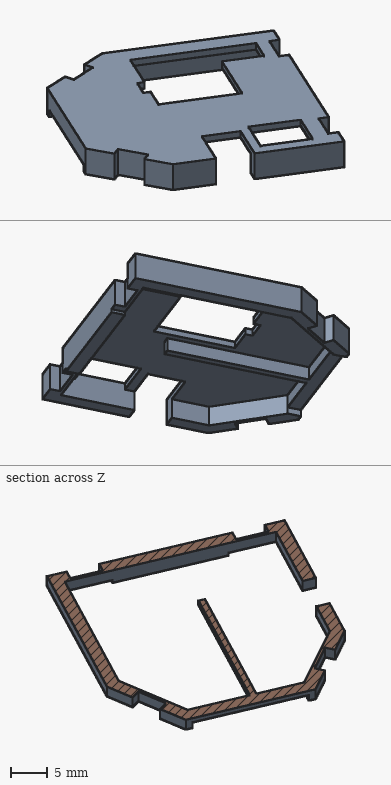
import cadquery as cq
import math

side = 35.0
total_height = 4.5
tab_drop = 0.5
plate_thickness = 1.0
wall = 2.0
front_width = 19.1
slant_rise = 10.25
opening_width = 17.08
opening_top = 1.5

notch_depth = 1.47
rear_notch_offset = 2.95
rear_notch_width = 4.72
slant_notch_width = 4.48

rib_thickness = 1.0
rib_rear = 23.1

window_left = 3.0
window_right = 17.0
window_front = 13.45
window_step = 25.48
window_rear = 31.57
strip_right = 7.0
key_left = 10.05
key_right = 13.05
key_front = 12.4

small_window_left = 27.02
small_window_front = 23.5
small_window_rear = 31.0
slot_left = 28.0
slot_front = 16.5
slot_rear = 22.05

slant_run = (side - front_width) / 2
slant_angle = math.degrees(math.atan2(slant_rise, slant_run))


def block(x0, x1, y0, y1, z0=0.0, z1=total_height):
    """Axis-aligned block between opposite limits."""
    return cq.Workplane("XY").box(x1 - x0, y1 - y0, z1 - z0, centered=False).translate((x0, y0, z0))


def outline(z):
    """Square with its two front corners cut away."""
    points = [
        (0, slant_rise),
        (slant_run, 0),
        (side - slant_run, 0),
        (side, slant_rise),
        (side, side),
        (0, side),
    ]
    return cq.Workplane("XY").workplane(offset=z).polyline(points).close()


def slant_notch():
    """Cutter centred on the left slanted edge."""
    return (
        cq.Workplane("XY")
        .box(slant_notch_width, 2 * notch_depth, total_height, centered=(True, True, False))
        .rotate((0, 0, 0), (0, 0, 1), -slant_angle)
        .translate((slant_run / 2, slant_rise / 2, 0))
    )


def mirrored(shape):
    """Opposite-hand copy about the part's centre plane."""
    return shape.mirror("YZ", (side / 2, 0, 0))


cavity_height = total_height - plate_thickness - tab_drop
cover = outline(tab_drop).extrude(total_height - tab_drop)
cavity = outline(tab_drop).offset2D(-wall).extrude(cavity_height)
body = cover.cut(cavity)

opening_left = (side - opening_width) / 2
opening_right = side - opening_left
body = body.cut(block(opening_left, opening_right, 0, wall, tab_drop, opening_top))
body = body.union(block(opening_left, opening_right, side - wall, side, 0, opening_top))

rib_left = window_right + rib_thickness
rib = block(rib_left, rib_left + rib_thickness, wall, rib_rear, opening_top, total_height)
body = body.union(rib)

rear_notch = block(
    rear_notch_offset, rear_notch_offset + rear_notch_width, side - notch_depth, side
)
for notch in (rear_notch, slant_notch()):
    body = body.cut(notch).cut(mirrored(notch))

body = body.cut(block(window_left, window_right, window_front, window_step))
body = body.cut(block(window_left, strip_right, window_step, window_rear))
body = body.cut(block(key_left, key_right, key_front, window_front))

body = body.cut(block(small_window_left, side - wall, small_window_front, small_window_rear))
body = body.cut(block(slot_left, side, slot_front, slot_rear))

result = body